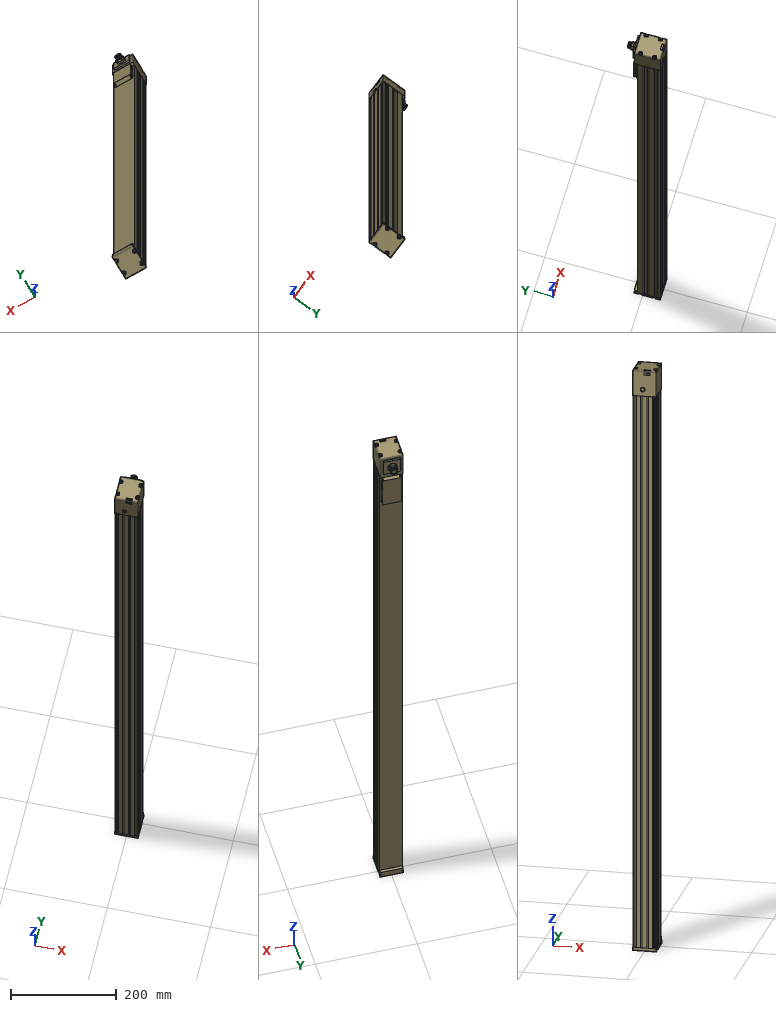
import cadquery as cq

HEIGHT = 1165.0
WIDTH = 45.0
FRONT_Y = -35.0
PROFILE_BACK_Y = 10.0
END_OVERHANG = 6.4
TIP_Y = 35.0
HEAD_HEIGHT = 51.0
CAP_THICKNESS = 7.0
END_FILLET = 1.7
HEAD_CORNER_RADIUS = 1.4

HALF_WIDTH = WIDTH / 2
END_BACK_Y = PROFILE_BACK_Y + END_OVERHANG
HEAD_BOTTOM = HEIGHT - HEAD_HEIGHT

SCREW_DIAMETER = 8.0
SCREW_DEPTH = 2.9
SOCKET_DIAMETER = 4.0
SOCKET_DEPTH = 4.1
SCREW_X = 20.0
SCREW_BACK_Y = 5.2
SCREW_SPACING_Y = 28.0
SCREW_POINTS = [
    (side * SCREW_X, y)
    for side in (-1, 1)
    for y in (SCREW_BACK_Y, SCREW_BACK_Y - SCREW_SPACING_Y)
]

FRONT_GROOVE_WIDTH = 2.9
FRONT_GROOVE_DEPTH = 2.0
FRONT_GROOVE_INNER_X = 5.0
FRONT_GROOVE_SPACING = 11.1
SIDE_GROOVE_START_Y = -0.6
SIDE_GROOVE_FLANK_Y = -3.3
SIDE_GROOVE_FLOOR_END_Y = -8.7
SIDE_GROOVE_WIDTH = 12.0
SIDE_GROOVE_DEPTH = 2.1
SIDE_LEDGE_DEPTH = 1.0
COVER_DEPTH = 5.2
COVER_INSET = 1.0
SEAM_GROOVE_WIDTH = 3.0
SEAM_GROOVE_DEPTH = 1.7
SEAM_TO_COVER = 3.0

INDICATOR_X = -3.0
INDICATOR_DROP = 38.0
INDICATOR_DIAMETER = 8.0
INDICATOR_DEPTH = 2.0
WINDOW_X = 5.0
WINDOW_WIDTH = 12.0
WINDOW_DEPTH = 1.7
FRONT_WINDOW_DROP = 5.0
FRONT_WINDOW_HEIGHT = 4.1
TOP_WINDOW_SETBACK = 2.9
TOP_WINDOW_LENGTH = 3.0

LUG_TOP = 14.0
LUG_CORNER_RADIUS = 2.9

CONNECTOR_DROP = 22.0
FLANGE_SIZE = 34.0
FLANGE_THICKNESS = 3.0
COLLAR_DIAMETER = 17.0
COLLAR_LENGTH = 3.0
NUT_CORNER_DIAMETER = 17.0
NUT_LENGTH = 4.1
PLUG_DIAMETER = 13.0
THREAD_CORE_DIAMETER = 10.0
THREAD_GROOVE_WIDTH = 1.0
THREAD_GROOVE_COUNT = 2

CLAMP_TOP = 1107.0
CLAMP_HEIGHT = 66.0
CLAMP_WIDTH = 37.0
CLAMP_THICKNESS = 8.7
CLAMP_BASE_WIDTH = 40.0
CLAMP_BASE_THICKNESS = 2.0
CLAMP_BACK_WALL = 2.9
CLAMP_POCKET_DEPTH = 2.0
CLAMP_POCKETS = [(0, 5.0), (17.0, 5.0), (28.0, 20.0), (62.0, 5.0)]


def block(x_range, y_range, z_range):
    """Box between the given limits."""
    (x0, x1), (y0, y1), (z0, z1) = x_range, y_range, z_range
    return cq.Workplane("XY").box(x1 - x0, y1 - y0, z1 - z0, centered=False).translate((x0, y0, z0))


def centred(width, middle=0):
    """Limits of a span of the given width around its middle."""
    return (middle - width / 2, middle + width / 2)


def facing_back(y, z):
    """Workplane at X = 0 whose normal points to +Y; its local x axis runs to -X."""
    return cq.Workplane("XZ", origin=(0, y, z)).transformed(rotate=(0, 180, 0))


def screw_recesses(face_z, inward):
    """Stepped recesses sunk from the face at face_z; inward is +1 for up, -1 for down."""
    points = cq.Workplane("XY", origin=(0, 0, face_z)).pushPoints(SCREW_POINTS)
    heads = points.circle(SCREW_DIAMETER / 2).extrude(inward * SCREW_DEPTH)
    sockets = points.circle(SOCKET_DIAMETER / 2).extrude(inward * SOCKET_DEPTH)
    return heads.union(sockets)


def make_profile():
    """Extruded column with a ribbed front and grooved sides."""
    side_floor_x = HALF_WIDTH - SIDE_GROOVE_DEPTH
    ledge_x = HALF_WIDTH - SIDE_LEDGE_DEPTH
    side_groove_end_y = SIDE_GROOVE_START_Y - SIDE_GROOVE_WIDTH
    cover_x = HALF_WIDTH - COVER_INSET
    cover_back_y = FRONT_Y + COVER_DEPTH
    seam_x = HALF_WIDTH - SEAM_GROOVE_DEPTH
    seam_front_y = cover_back_y + SEAM_TO_COVER
    seam_back_y = seam_front_y + SEAM_GROOVE_WIDTH
    half_outline = [
        (0, PROFILE_BACK_Y),
        (HALF_WIDTH, PROFILE_BACK_Y),
        (HALF_WIDTH, SIDE_GROOVE_START_Y),
        (side_floor_x, SIDE_GROOVE_FLANK_Y),
        (side_floor_x, SIDE_GROOVE_FLOOR_END_Y),
        (ledge_x, SIDE_GROOVE_FLOOR_END_Y),
        (ledge_x, side_groove_end_y),
        (HALF_WIDTH, side_groove_end_y),
        (HALF_WIDTH, seam_back_y),
        (seam_x, seam_back_y),
        (seam_x, seam_front_y),
        (HALF_WIDTH, seam_front_y),
        (HALF_WIDTH, cover_back_y),
        (cover_x, cover_back_y),
        (cover_x, FRONT_Y),
    ]
    groove_floor_y = FRONT_Y + FRONT_GROOVE_DEPTH
    for inner_x in (FRONT_GROOVE_INNER_X + FRONT_GROOVE_SPACING, FRONT_GROOVE_INNER_X):
        outer_x = inner_x + FRONT_GROOVE_WIDTH
        half_outline += [
            (outer_x, FRONT_Y),
            (outer_x, groove_floor_y),
            (inner_x, groove_floor_y),
            (inner_x, FRONT_Y),
        ]
    mirrored_half = [(-x, y) for x, y in reversed(half_outline[1:])]
    return (
        cq.Workplane("XY", origin=(0, 0, CAP_THICKNESS))
        .polyline(half_outline + mirrored_half)
        .close()
        .extrude(HEAD_BOTTOM - CAP_THICKNESS)
    )


def make_head():
    """Top housing with rounded upper edges, screw recesses, indicator and two windows."""
    head = block(centred(WIDTH), (FRONT_Y, END_BACK_Y), (HEAD_BOTTOM, HEIGHT))
    head = head.edges("|Z and >Y").fillet(HEAD_CORNER_RADIUS)
    head = head.faces(">Z").edges().fillet(END_FILLET)
    indicator = (
        facing_back(FRONT_Y, HEIGHT - INDICATOR_DROP)
        .center(-INDICATOR_X, 0)
        .circle(INDICATOR_DIAMETER / 2)
        .extrude(INDICATOR_DEPTH)
    )
    window_x = centred(WINDOW_WIDTH, WINDOW_X)
    window_top = HEIGHT - FRONT_WINDOW_DROP
    front_window = block(
        window_x,
        (FRONT_Y, FRONT_Y + WINDOW_DEPTH),
        (window_top - FRONT_WINDOW_HEIGHT, window_top),
    )
    top_window_y = FRONT_Y + TOP_WINDOW_SETBACK
    top_window = block(
        window_x,
        (top_window_y, top_window_y + TOP_WINDOW_LENGTH),
        (HEIGHT - WINDOW_DEPTH, HEIGHT),
    )
    for opening in (screw_recesses(HEIGHT, -1), indicator, front_window, top_window):
        head = head.cut(opening)
    return head


def make_end_cap():
    """Bottom plate with rounded front and back edges and a lug behind the profile."""
    plate = block(centred(WIDTH), (FRONT_Y, END_BACK_Y), (0, CAP_THICKNESS))
    plate = plate.faces("<Z").edges("|X").fillet(END_FILLET)
    lug = block(centred(WIDTH), (PROFILE_BACK_Y, END_BACK_Y), (CAP_THICKNESS, LUG_TOP))
    lug = lug.edges("|Z and >Y").fillet(LUG_CORNER_RADIUS)
    return plate.union(lug).cut(screw_recesses(0, 1))


def make_connector():
    """Square flange, round collar, hexagonal nut and threaded plug pointing to +Y."""
    axis_z = HEIGHT - CONNECTOR_DROP
    collar_y = END_BACK_Y + FLANGE_THICKNESS
    nut_y = collar_y + COLLAR_LENGTH
    plug_y = nut_y + NUT_LENGTH
    plug_length = TIP_Y - plug_y
    flange = facing_back(END_BACK_Y, axis_z).rect(FLANGE_SIZE, FLANGE_SIZE).extrude(FLANGE_THICKNESS)
    collar = facing_back(collar_y, axis_z).circle(COLLAR_DIAMETER / 2).extrude(COLLAR_LENGTH)
    nut = facing_back(nut_y, axis_z).polygon(6, NUT_CORNER_DIAMETER).extrude(NUT_LENGTH)
    plug = facing_back(plug_y, axis_z).circle(PLUG_DIAMETER / 2).extrude(plug_length)
    thread_pitch = plug_length / (THREAD_GROOVE_COUNT + 1)
    for index in range(THREAD_GROOVE_COUNT):
        groove_y = plug_y + (index + 1) * thread_pitch - THREAD_GROOVE_WIDTH / 2
        groove = (
            facing_back(groove_y, axis_z)
            .circle(PLUG_DIAMETER / 2)
            .circle(THREAD_CORE_DIAMETER / 2)
            .extrude(THREAD_GROOVE_WIDTH)
        )
        plug = plug.cut(groove)
    return flange.union(collar).union(nut).union(plug)


def make_clamp():
    """Block on a wider base, on the back of the profile, with pockets in both sides."""
    base_y = PROFILE_BACK_Y + CLAMP_BASE_THICKNESS
    back_y = PROFILE_BACK_Y + CLAMP_THICKNESS
    z_range = (CLAMP_TOP - CLAMP_HEIGHT, CLAMP_TOP)
    clamp = block(centred(CLAMP_BASE_WIDTH), (PROFILE_BACK_Y, base_y), z_range)
    clamp = clamp.union(block(centred(CLAMP_WIDTH), (base_y, back_y), z_range))
    pocket_y = (base_y, back_y - CLAMP_BACK_WALL)
    pocket_middle_x = (CLAMP_WIDTH - CLAMP_POCKET_DEPTH) / 2
    for drop, height in CLAMP_POCKETS:
        pocket_z = (CLAMP_TOP - drop - height, CLAMP_TOP - drop)
        for side in (-1, 1):
            pocket_x = centred(CLAMP_POCKET_DEPTH, side * pocket_middle_x)
            clamp = clamp.cut(block(pocket_x, pocket_y, pocket_z))
    return clamp


profile = make_profile()
head = make_head()
end_cap = make_end_cap()
connector = make_connector()
clamp = make_clamp()

result = cq.Compound.makeCompound(
    [profile.val(), head.val(), end_cap.val(), connector.val(), clamp.val()]
)